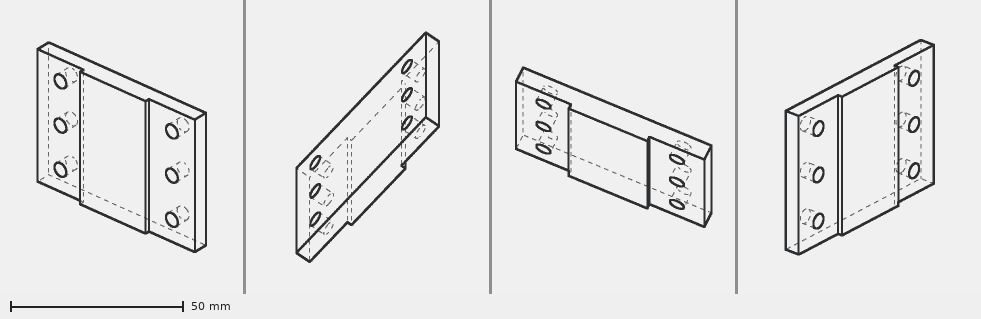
import cadquery as cq

length = 60.0
height = 45.0
total_depth = 6.5

pad_width = 25.0
pad_depth = 1.5
plate_depth = total_depth - pad_depth

hole_diameter = 4.5
holes_per_column = 3
hole_pitch = height / holes_per_column
column_spacing = (length + pad_width) / 2

plate = cq.Workplane("XY").box(length, plate_depth, height, centered=(True, False, True))

pad = (
    cq.Workplane("XY")
    .box(pad_width, total_depth, height, centered=(True, False, True))
    .translate((0, -pad_depth, 0))
)

holes = (
    cq.Workplane("XZ")
    .rarray(column_spacing, hole_pitch, 2, holes_per_column)
    .circle(hole_diameter / 2)
    .extrude(-plate_depth)
)

result = plate.union(pad).cut(holes)